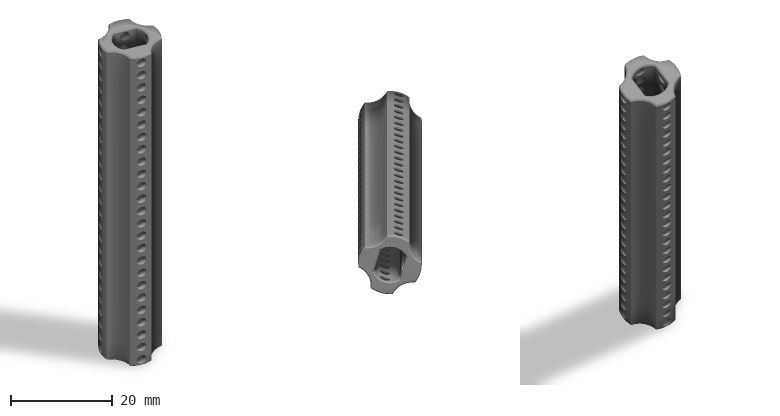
import cadquery as cq
import math

length = 78.1
outer_diameter = 12.5
arm_half_width = 2.3
groove_bottom_radius = 4.9
bore_diameter = 7.2
bore_flat_width = 5.4
edge_chamfer = 0.27
hole_diameter = 2.0
hole_count = 25

outer_radius = outer_diameter / 2
hole_pitch = length / hole_count
arm_corner_angle = math.degrees(math.asin(arm_half_width / outer_radius))


def polar(radius, degrees):
    """Point at a radius and angle around the tube axis."""
    angle = math.radians(degrees)
    return radius * math.cos(angle), radius * math.sin(angle)


def make_body():
    """Four-armed bar with rounded arm tips and hollow arcs between them."""
    outline = cq.Workplane("XY").moveTo(*polar(outer_radius, -arm_corner_angle))
    for arm_angle in (0, 90, 180, 270):
        outline = outline.threePointArc(
            polar(outer_radius, arm_angle),
            polar(outer_radius, arm_angle + arm_corner_angle),
        )
        outline = outline.threePointArc(
            polar(groove_bottom_radius, arm_angle + 45),
            polar(outer_radius, arm_angle + 90 - arm_corner_angle),
        )
    return outline.close().extrude(length)


def make_bore():
    """Round through bore narrowed by two flats."""
    flats = cq.Workplane("XY").rect(bore_flat_width, bore_diameter).extrude(length)
    return cq.Workplane("XY").circle(bore_diameter / 2).extrude(length).intersect(flats)


def make_cross_holes(plane):
    """Row of holes through the whole width, running along the normal of the plane."""
    centers = [(0, hole_pitch * (i + 0.5)) for i in range(hole_count)]
    return (
        cq.Workplane(plane)
        .pushPoints(centers)
        .circle(hole_diameter / 2)
        .extrude(outer_radius, both=True)
    )


tube = make_body().cut(make_bore())
tube = tube.faces("<Z or >Z").edges().chamfer(edge_chamfer)

result = tube.cut(make_cross_holes("XZ")).cut(make_cross_holes("YZ"))